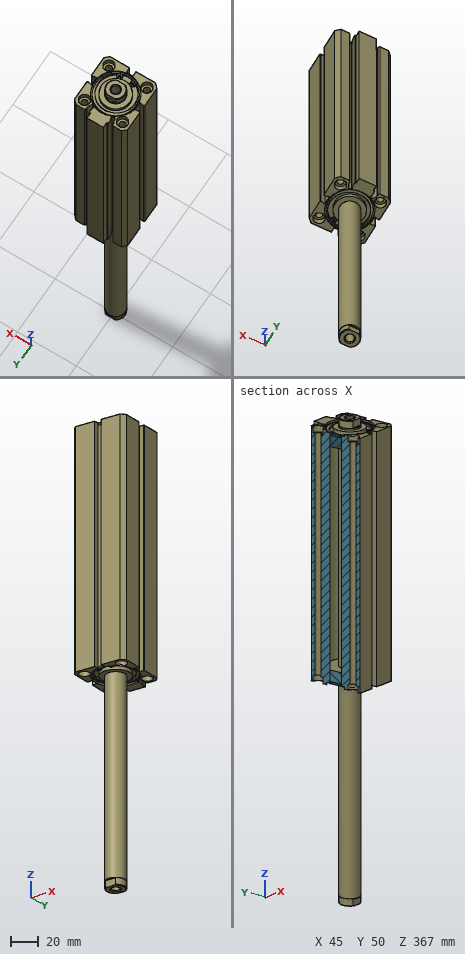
import cadquery as cq

ROD_LENGTH = 367.0
ROD_RADIUS = 8.0
NECK_DIAMETER = 15.8
NECK_LENGTH = 6.0
NECK_CHAMFER = 0.55
FLAT_HALF_WIDTH = 6.5
FLAT_LENGTH = 5.5
THREAD_RADIUS = 3.3
THREAD_CHAMFER = 0.7
THREAD_DEPTH = 16.0
DRILL_TIP_HEIGHT = 2.2

TUBE_BOTTOM = 167.5
TUBE_TOP = 360.0
TUBE_WIDTH = 45.0
CORNER_DIAMETER = 59.5
BORE_RADIUS = 17.0
MOUTH_RADIUS = 18.0
MOUTH_DEPTH = 1.5

BOLT_OFFSET = 16.0
BOLT_RADIUS = 2.5
COUNTERBORE_RADIUS = 4.5
COUNTERBORE_DEPTH = 4.8

SLOT_FLOOR = 18.5
SLOT_HALF_MOUTH = 2.75
SIDE_SLOT_HALF_FLOOR = 3.3
SLOT_LIP_CHAMFER = 0.55

CHANNEL_FLOOR = 16.0
CHANNEL_HALF_FLOOR = 9.5
CHANNEL_HALF_MOUTH = 11.5
CHANNEL_SHOULDER = 20.2
LIP_CHAMFER = 0.9

OVERALL_DEPTH = 50.0
RIB_HALF_TOP = 7.0
RIB_HALF_WAIST = 8.0
RIB_HALF_ROOT = 7.5
RIB_ROOT_HEIGHT = 1.0
RIB_LEDGE = 22.8

COVER_LENGTH = 12.0
BOSS_RADIUS = 12.0
RING_THICKNESS = 1.5
RING_INNER_RADIUS = 15.5
RING_INNER_SHIFT = 0.9
RING_GAP_HALF_WIDTH = 3.5
EAR_OFFSET_X = 5.5
EAR_OFFSET_Y = 14.0
EAR_RADIUS = 2.2
EAR_HOLE_RADIUS = 0.9

HALF_WIDTH = TUBE_WIDTH / 2
RIB_TOP = OVERALL_DEPTH - HALF_WIDTH
TUBE_LENGTH = TUBE_TOP - TUBE_BOTTOM
TUBE_MIDDLE = (TUBE_TOP + TUBE_BOTTOM) / 2
SHOULDER_DEPTH = MOUTH_DEPTH + RING_THICKNESS


def cylinder(radius, bottom, height, x=0, y=0):
    return cq.Workplane("XY", origin=(x, y, bottom)).circle(radius).extrude(height)


def tube_prism(points):
    """A prism over the whole tube length."""
    return cq.Workplane("XY", origin=(0, 0, TUBE_BOTTOM)).polyline(points).close().extrude(TUBE_LENGTH)


def mirrored(points):
    """Close a right-hand half outline with its mirror image in X."""
    return points + [(-x, y) for x, y in reversed(points)]


def at_both_ends(top_solid):
    """The solid at the top end of the tube and its mirror image at the bottom end."""
    return [top_solid, top_solid.mirror("XY", (0, 0, TUBE_MIDDLE))]


def make_plain_slot():
    """The straight slot in the -Y side."""
    return tube_prism(mirrored([
        (SLOT_HALF_MOUTH, -SLOT_FLOOR),
        (SLOT_HALF_MOUTH, -HALF_WIDTH),
    ]))


def make_side_slot(angle):
    """A slot with a bevelled lip, wider at its floor, turned from -Y by an angle in degrees."""
    outline = mirrored([
        (SIDE_SLOT_HALF_FLOOR, -SLOT_FLOOR),
        (SLOT_HALF_MOUTH, SLOT_LIP_CHAMFER - HALF_WIDTH),
        (SLOT_HALF_MOUTH + SLOT_LIP_CHAMFER, -HALF_WIDTH),
    ])
    return tube_prism(outline).rotate((0, 0, 0), (0, 0, 1), angle)


def make_channel():
    """The wide channel in the +Y side that the rib stands in."""
    return tube_prism(mirrored([
        (CHANNEL_HALF_FLOOR, CHANNEL_FLOOR),
        (CHANNEL_HALF_MOUTH, CHANNEL_SHOULDER),
        (CHANNEL_HALF_MOUTH, HALF_WIDTH - LIP_CHAMFER),
        (CHANNEL_HALF_MOUTH + LIP_CHAMFER, HALF_WIDTH),
    ]))


def make_rib():
    return tube_prism(mirrored([
        (RIB_HALF_ROOT, CHANNEL_FLOOR),
        (RIB_HALF_ROOT, CHANNEL_FLOOR + RIB_ROOT_HEIGHT),
        (RIB_HALF_WAIST, CHANNEL_SHOULDER),
        (RIB_HALF_WAIST, RIB_LEDGE),
        (RIB_HALF_TOP, RIB_LEDGE),
        (RIB_HALF_TOP, RIB_TOP),
    ]))


def make_bolt_hole(x, y):
    hole = cylinder(BOLT_RADIUS, TUBE_BOTTOM, TUBE_LENGTH, x, y)
    for bottom in (TUBE_BOTTOM, TUBE_TOP - COUNTERBORE_DEPTH):
        hole = hole.union(cylinder(COUNTERBORE_RADIUS, bottom, COUNTERBORE_DEPTH, x, y))
    return hole


def make_bore():
    """The through bore with a wider, shallow mouth at both ends."""
    bore = cylinder(BORE_RADIUS, TUBE_BOTTOM, TUBE_LENGTH)
    for bottom in (TUBE_BOTTOM, TUBE_TOP - MOUTH_DEPTH):
        bore = bore.union(cylinder(MOUTH_RADIUS, bottom, MOUTH_DEPTH))
    return bore


def make_tube():
    block = cq.Workplane("XY", origin=(0, 0, TUBE_BOTTOM)).rect(TUBE_WIDTH, TUBE_WIDTH).extrude(TUBE_LENGTH)
    tube = block.intersect(cylinder(CORNER_DIAMETER / 2, TUBE_BOTTOM, TUBE_LENGTH))
    tube = tube.cut(make_channel()).union(make_rib())
    tube = tube.cut(make_plain_slot())
    for angle in (-90, 90):
        tube = tube.cut(make_side_slot(angle))
    for x in (-BOLT_OFFSET, BOLT_OFFSET):
        for y in (-BOLT_OFFSET, BOLT_OFFSET):
            tube = tube.cut(make_bolt_hole(x, y))
    return tube.cut(make_bore())


def make_top_cover():
    bottom = TUBE_TOP - COVER_LENGTH
    plug = cylinder(BORE_RADIUS, bottom, COVER_LENGTH - SHOULDER_DEPTH)
    boss = cylinder(BOSS_RADIUS, bottom, COVER_LENGTH)
    return plug.union(boss).cut(cylinder(ROD_RADIUS, bottom, COVER_LENGTH))


def make_top_ring():
    bottom = TUBE_TOP - SHOULDER_DEPTH
    disc = cylinder(BORE_RADIUS, bottom, RING_THICKNESS)
    ring = disc.cut(cylinder(RING_INNER_RADIUS, bottom, RING_THICKNESS, 0, -RING_INNER_SHIFT))
    for x in (-EAR_OFFSET_X, EAR_OFFSET_X):
        ear = cylinder(EAR_RADIUS, bottom, RING_THICKNESS, x, -EAR_OFFSET_Y)
        ring = ring.union(ear.intersect(disc))
        ring = ring.cut(cylinder(EAR_HOLE_RADIUS, bottom, RING_THICKNESS, x, -EAR_OFFSET_Y))
    gap = cq.Workplane("XY", origin=(0, -BORE_RADIUS, bottom)).rect(2 * RING_GAP_HALF_WIDTH, BORE_RADIUS)
    ring = ring.cut(gap.extrude(RING_THICKNESS))
    return ring.cut(cylinder(BOSS_RADIUS, bottom, RING_THICKNESS))


def make_rod():
    """A plain rod with a slightly thinner neck, wrench flats and a tapped hole at both ends."""
    neck = cylinder(NECK_DIAMETER / 2, 0, ROD_LENGTH).faces("<Z or >Z").chamfer(NECK_CHAMFER)
    rod = neck.union(cylinder(ROD_RADIUS, NECK_LENGTH, ROD_LENGTH - 2 * NECK_LENGTH))
    drill = cq.Workplane("XZ").polyline([
        (0, 0),
        (THREAD_RADIUS + THREAD_CHAMFER, 0),
        (THREAD_RADIUS, THREAD_CHAMFER),
        (THREAD_RADIUS, THREAD_DEPTH),
        (0, THREAD_DEPTH + DRILL_TIP_HEIGHT),
    ]).close().revolve(360, (0, 0, 0), (0, 1, 0))
    flat_gap = ROD_RADIUS - FLAT_HALF_WIDTH
    flat = cq.Workplane("XY").box(2 * ROD_RADIUS, flat_gap, FLAT_LENGTH, centered=(True, False, False))
    flats = flat.translate((0, FLAT_HALF_WIDTH, 0)).union(flat.translate((0, -ROD_RADIUS, 0)))
    end_cuts = drill.union(flats)
    return rod.cut(end_cuts).cut(end_cuts.mirror("XY", (0, 0, ROD_LENGTH / 2)))


tube = make_tube().val()
rod = make_rod().val()
covers = at_both_ends(make_top_cover().val())
rings = at_both_ends(make_top_ring().val())

result = cq.Compound.makeCompound([tube, rod, *covers, *rings])